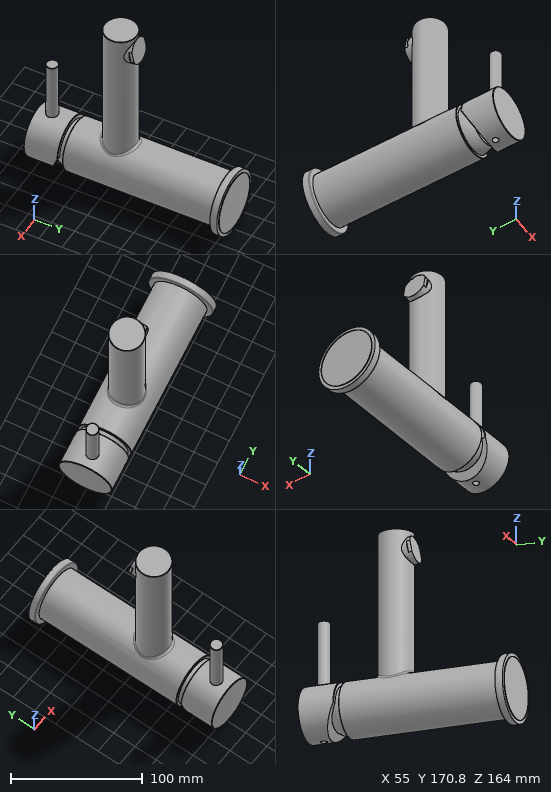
import cadquery as cq
import math


flange_diameter = 55.0
flange_back_diameter = 49.0
flange_back_height = 0.5
flange_front_depth = 6.8
flange_edge_radius = 0.6

body_diameter = 45.0
body_end_depth = 136.7
body_edge_chamfer = 0.4

ball_diameter = 40.0
ball_end_diameter = 32.8
ball_center_depth = 135.0

handle_start_depth = 140.8
handle_rim_depth = 170.1
handle_tip_depth = 170.8
handle_edge_chamfer = 0.4
relief_top = 0.7
relief_bottom_depth = 151.2
set_screw_diameter = 5.0
set_screw_depth = 8.0

lever_diameter = 10.0
lever_depth = 157.7
lever_top = 73.4
lever_edge_chamfer = 0.3

spout_diameter = 28.0
spout_depth = 98.5
spout_top = 136.48
spout_edge_chamfer = 0.3
spout_base_fillet = 2.0
selection_margin = 1.0

aerator_diameter = 21.9
aerator_tilt = 10.5
aerator_face_depth = 82.5
aerator_face_height = 122.4
aerator_length = 12.0
aerator_flat_spacing = 19.8
aerator_flat_length = 2.8


def axial_cylinder(diameter, start_depth, end_depth):
    """Cylinder on the body axis between two distances from the wall."""
    plane = cq.Workplane("XZ", origin=(0, -start_depth, 0))
    return plane.circle(diameter / 2).extrude(end_depth - start_depth)


def upright_cylinder(diameter, depth, top, edge_chamfer):
    """Vertical cylinder from the body axis up to a chamfered top."""
    cylinder = cq.Workplane("XY", origin=(0, -depth, 0)).circle(diameter / 2).extrude(top)
    return cylinder.faces(">Z").chamfer(edge_chamfer)


def make_flange():
    back = axial_cylinder(flange_back_diameter, 0, flange_front_depth)
    rim = axial_cylinder(flange_diameter, flange_back_height, flange_front_depth)
    return rim.faces("<Y").edges().fillet(flange_edge_radius).union(back)


def make_body_with_spout():
    body = axial_cylinder(body_diameter, 0, body_end_depth)
    body = body.faces("<Y").chamfer(body_edge_chamfer)
    body = body.union(upright_cylinder(spout_diameter, spout_depth, spout_top, spout_edge_chamfer))
    reach = spout_diameter / 2 + selection_margin
    joint_box = cq.selectors.BoxSelector(
        (-reach, -spout_depth - reach, 0),
        (reach, -spout_depth + reach, body_diameter / 2 + selection_margin),
        boundingbox=True,
    )
    return body.edges(joint_box).fillet(spout_base_fillet)


def make_ball():
    """Ball with a flat front of the given end diameter."""
    front_offset = math.sqrt(ball_diameter**2 - ball_end_diameter**2) / 2
    ball = cq.Workplane("XY", origin=(0, -ball_center_depth, 0)).sphere(ball_diameter / 2)
    keep = axial_cylinder(body_diameter, body_end_depth - body_diameter / 2, ball_center_depth + front_offset)
    return ball.intersect(keep)


def make_handle():
    """Cap with a domed end, its lower back corner cut off, and a set screw hole below the lever."""
    radius = body_diameter / 2
    rim_radius = radius - handle_edge_chamfer
    dome_rise = handle_tip_depth - handle_rim_depth
    dome_radius = (rim_radius**2 + dome_rise**2) / (2 * dome_rise)
    mid_radius = rim_radius / 2
    mid_depth = handle_tip_depth - dome_radius + math.sqrt(dome_radius**2 - mid_radius**2)
    cap = (
        cq.Workplane("XY")
        .moveTo(0, -handle_start_depth)
        .lineTo(rim_radius, -handle_start_depth)
        .lineTo(radius, -handle_start_depth - handle_edge_chamfer)
        .lineTo(radius, -handle_rim_depth + handle_edge_chamfer)
        .lineTo(rim_radius, -handle_rim_depth)
        .threePointArc((mid_radius, -mid_depth), (0, -handle_tip_depth))
        .close()
        .revolve(360, (0, 0, 0), (0, 1, 0))
    )
    relief = (
        cq.Workplane("YZ")
        .moveTo(-handle_start_depth, relief_top)
        .lineTo(-relief_bottom_depth, -radius)
        .lineTo(-handle_start_depth, -radius)
        .close()
        .extrude(radius, both=True)
    )
    set_screw_hole = (
        cq.Workplane("XY", origin=(0, -lever_depth, -radius))
        .circle(set_screw_diameter / 2)
        .extrude(set_screw_depth)
    )
    return cap.cut(relief).cut(set_screw_hole)


def make_aerator():
    """Outlet insert tilted upward, with a wrench flat on each side of its outer end."""
    tilt = math.radians(aerator_tilt)
    face = cq.Plane(
        origin=(0, -aerator_face_depth, aerator_face_height),
        xDir=(1, 0, 0),
        normal=(0, math.cos(tilt), math.sin(tilt)),
    )
    barrel = cq.Workplane(face).circle(aerator_diameter / 2).extrude(-aerator_length)
    for side in (-1, 1):
        flat_center = side * (aerator_flat_spacing + aerator_diameter) / 2
        flat = cq.Workplane(face).center(flat_center, 0)
        barrel = barrel.cut(flat.rect(aerator_diameter, aerator_diameter).extrude(-aerator_flat_length))
    return barrel


lever = upright_cylinder(lever_diameter, lever_depth, lever_top, lever_edge_chamfer)

result = (
    make_body_with_spout()
    .union(make_flange())
    .union(make_ball())
    .union(make_handle())
    .union(lever)
    .union(make_aerator())
)